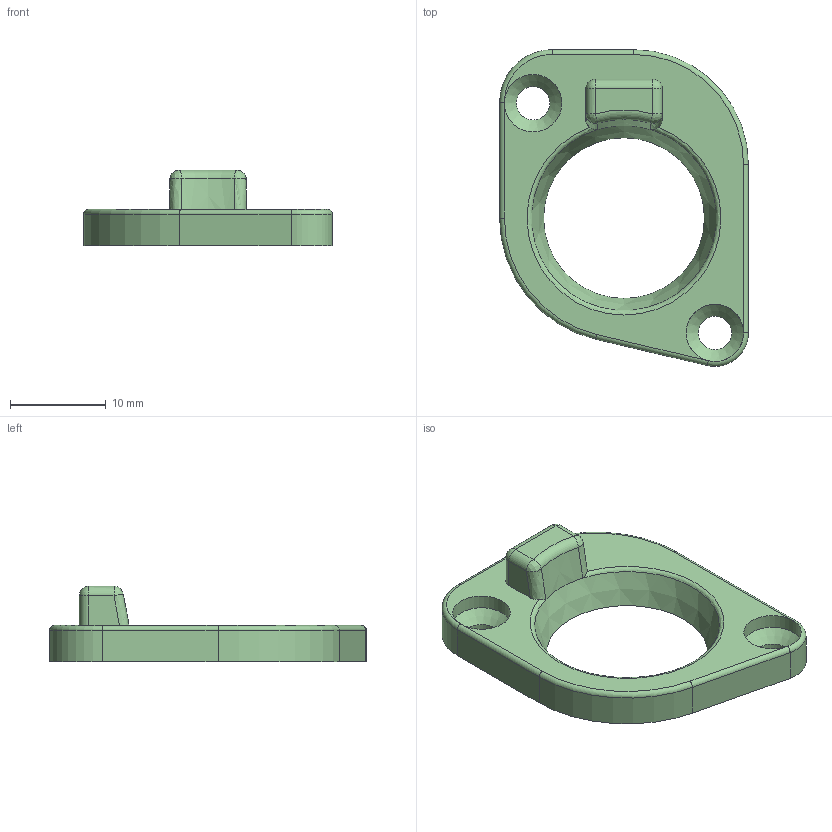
import cadquery as cq
import math

HALF_WIDTH = 13.0
TOP_EDGE_Y = 17.6
PLATE_THICKNESS = 3.8
RIM_FILLET = 0.5

UPPER_LEFT_RADIUS = 5.5
UPPER_RIGHT_RADIUS = 12.0
LOWER_LEFT_RADIUS = HALF_WIDTH
LOWER_RIGHT_RADIUS = 3.5

SCREW_X = HALF_WIDTH - LOWER_RIGHT_RADIUS
SCREW_Y = 12.0
SCREW_HOLE_RADIUS = 1.75
SCREW_HEAD_RADIUS = 3.0
SCREW_RECESS_DEPTH = 1.5
SCREW_CONE_DEPTH = SCREW_HEAD_RADIUS - SCREW_HOLE_RADIUS

BORE_BOTTOM_RADIUS = 8.4
BORE_TAPER = math.radians(20.0)

BLOCK_WIDTH = 8.0
BLOCK_BACK_Y = 14.5
BLOCK_TOP_Z = 7.9
BLOCK_FILLET = 1.0
BLOCK_FRONT_TAPER = math.radians(10.0)


def bore_radius(z):
    return BORE_BOTTOM_RADIUS + z * math.tan(BORE_TAPER)


RIM_TANGENT_LENGTH = RIM_FILLET * math.tan((math.pi / 2 - BORE_TAPER) / 2)
BLOCK_ROOT_Z = PLATE_THICKNESS - RIM_TANGENT_LENGTH * math.cos(BORE_TAPER)


def block_front_radius(z):
    return bore_radius(BLOCK_ROOT_Z) + (z - BLOCK_ROOT_Z) * math.tan(BLOCK_FRONT_TAPER)


def cone(radius_at, bottom_z, top_z):
    """Solid cone about the Z axis whose radius follows radius_at(z)."""
    profile = [(0, bottom_z), (radius_at(bottom_z), bottom_z), (radius_at(top_z), top_z), (0, top_z)]
    return cq.Workplane("YZ").polyline(profile).close().revolve(360, (0, 0, 0), (0, 1, 0))


def point_on_arc(center, radius, angle):
    return (center[0] + radius * math.cos(angle), center[1] + radius * math.sin(angle))


def make_plate():
    upper_left = (-HALF_WIDTH + UPPER_LEFT_RADIUS, TOP_EDGE_Y - UPPER_LEFT_RADIUS)
    upper_right = (HALF_WIDTH - UPPER_RIGHT_RADIUS, TOP_EDGE_Y - UPPER_RIGHT_RADIUS)
    lower_left = (0, 0)
    lower_right = (SCREW_X, -SCREW_Y)

    center_distance = math.hypot(SCREW_X, SCREW_Y)
    center_angle = math.atan2(-SCREW_Y, SCREW_X)
    slant_normal = center_angle - math.acos((LOWER_LEFT_RADIUS - LOWER_RIGHT_RADIUS) / center_distance)

    right, up, left = 0, math.pi / 2, math.pi
    lower_left_middle = (slant_normal - left) / 2
    lower_right_middle = slant_normal / 2

    outline = (
        cq.Workplane("XY")
        .moveTo(*point_on_arc(upper_left, UPPER_LEFT_RADIUS, up))
        .lineTo(*point_on_arc(upper_right, UPPER_RIGHT_RADIUS, up))
        .threePointArc(
            point_on_arc(upper_right, UPPER_RIGHT_RADIUS, up / 2),
            point_on_arc(upper_right, UPPER_RIGHT_RADIUS, right),
        )
        .lineTo(*point_on_arc(lower_right, LOWER_RIGHT_RADIUS, right))
        .threePointArc(
            point_on_arc(lower_right, LOWER_RIGHT_RADIUS, lower_right_middle),
            point_on_arc(lower_right, LOWER_RIGHT_RADIUS, slant_normal),
        )
        .lineTo(*point_on_arc(lower_left, LOWER_LEFT_RADIUS, slant_normal))
        .threePointArc(
            point_on_arc(lower_left, LOWER_LEFT_RADIUS, lower_left_middle),
            point_on_arc(lower_left, LOWER_LEFT_RADIUS, left),
        )
        .lineTo(*point_on_arc(upper_left, UPPER_LEFT_RADIUS, left))
        .threePointArc(
            point_on_arc(upper_left, UPPER_LEFT_RADIUS, (up + left) / 2),
            point_on_arc(upper_left, UPPER_LEFT_RADIUS, up),
        )
        .close()
    )
    plate = outline.extrude(PLATE_THICKNESS).cut(cone(bore_radius, 0, PLATE_THICKNESS))
    return plate.faces(">Z").edges().fillet(RIM_FILLET)


def make_block():
    """Rounded block with its sharp root sunk into the plate."""
    root_z = PLATE_THICKNESS / 2
    height = BLOCK_TOP_Z - root_z
    block = (
        cq.Workplane("XY", origin=(0, 0, root_z))
        .box(BLOCK_WIDTH, BLOCK_BACK_Y, height, centered=(True, False, False))
        .cut(cone(block_front_radius, 0, BLOCK_TOP_Z))
    )
    return block.edges("not <Z").fillet(BLOCK_FILLET)


def make_screw_cutter():
    recess_floor_z = PLATE_THICKNESS - SCREW_RECESS_DEPTH
    cone_floor_z = recess_floor_z - SCREW_CONE_DEPTH
    profile = [
        (0, 0),
        (SCREW_HOLE_RADIUS, 0),
        (SCREW_HOLE_RADIUS, cone_floor_z),
        (SCREW_HEAD_RADIUS, recess_floor_z),
        (SCREW_HEAD_RADIUS, PLATE_THICKNESS),
        (0, PLATE_THICKNESS),
    ]
    return cq.Workplane("XZ").polyline(profile).close().revolve(360, (0, 0, 0), (0, 1, 0))


part = make_plate().union(make_block())
screw_cutter = make_screw_cutter()
for side in (-1, 1):
    part = part.cut(screw_cutter.translate((side * SCREW_X, -side * SCREW_Y, 0)))

result = part